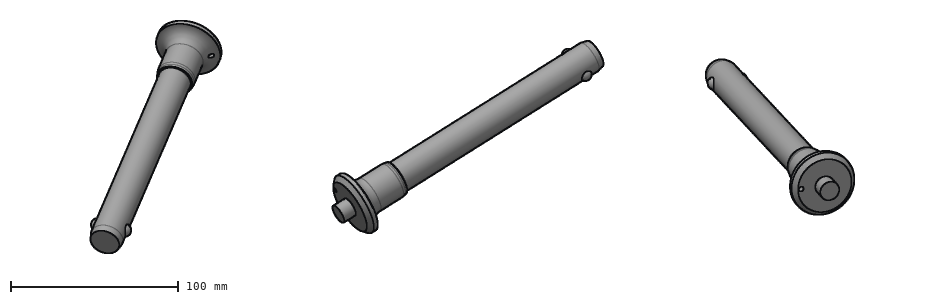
import cadquery as cq

TOTAL_LENGTH = 190.1
BUTTON_END_Y = TOTAL_LENGTH / 2
TIP_Y = -TOTAL_LENGTH / 2

BUTTON_RADIUS = 6.0
BUTTON_LENGTH = 8.6

FLANGE_RADIUS = 20.0
FLANGE_CHAMFER = 3.0
FLANGE_RIM_WIDTH = 3.0
COLLAR_RADIUS = 11.7
FLARE_RADIUS = FLANGE_RADIUS - COLLAR_RADIUS
COLLAR_LENGTH = 16.8
COLLAR_BAND_LENGTH = 1.6
COLLAR_BAND_RADIUS = 11.4
COLLAR_NOSE_LENGTH = 1.7
COLLAR_NOSE_RADIUS = 11.05

SHANK_RADIUS = 10.0
TIP_RADIUS = 9.0
TIP_TAPER_LENGTH = 4.2

BALL_RADIUS = 4.0
BALL_SPAN = 24.8
BALL_FROM_TIP = 13.3

LANYARD_HOLE_DIAMETER = 3.0
LANYARD_HOLE_OFFSET = 15.0

FLANGE_TOP_Y = BUTTON_END_Y - BUTTON_LENGTH
RIM_TOP_Y = FLANGE_TOP_Y - FLANGE_CHAMFER
RIM_BOTTOM_Y = RIM_TOP_Y - FLANGE_RIM_WIDTH
COLLAR_TOP_Y = RIM_BOTTOM_Y - FLARE_RADIUS
COLLAR_BOTTOM_Y = COLLAR_TOP_Y - COLLAR_LENGTH
BAND_BOTTOM_Y = COLLAR_BOTTOM_Y - COLLAR_BAND_LENGTH
NOSE_BOTTOM_Y = BAND_BOTTOM_Y - COLLAR_NOSE_LENGTH
TAPER_START_Y = TIP_Y + TIP_TAPER_LENGTH


def make_pin_body():
    """Revolve the button, handle and shank about the Y axis."""
    profile = (
        cq.Workplane("XY")
        .moveTo(0, BUTTON_END_Y)
        .lineTo(BUTTON_RADIUS, BUTTON_END_Y)
        .lineTo(BUTTON_RADIUS, FLANGE_TOP_Y)
        .lineTo(FLANGE_RADIUS - FLANGE_CHAMFER, FLANGE_TOP_Y)
        .lineTo(FLANGE_RADIUS, RIM_TOP_Y)
        .lineTo(FLANGE_RADIUS, RIM_BOTTOM_Y)
        .radiusArc((COLLAR_RADIUS, COLLAR_TOP_Y), -FLARE_RADIUS)
        .lineTo(COLLAR_RADIUS, COLLAR_BOTTOM_Y)
        .lineTo(COLLAR_BAND_RADIUS, BAND_BOTTOM_Y)
        .lineTo(COLLAR_NOSE_RADIUS, NOSE_BOTTOM_Y)
        .lineTo(SHANK_RADIUS, NOSE_BOTTOM_Y)
        .lineTo(SHANK_RADIUS, TAPER_START_Y)
        .lineTo(TIP_RADIUS, TIP_Y)
        .lineTo(0, TIP_Y)
        .close()
    )
    return profile.revolve(360, (0, 0, 0), (0, 1, 0))


def add_locking_balls(body):
    """Join a ball protruding from each side of the shank near the tip."""
    ball_x = BALL_SPAN / 2 - BALL_RADIUS
    for side in (-1, 1):
        ball = cq.Workplane("XY").sphere(BALL_RADIUS)
        body = body.union(ball.translate((side * ball_x, TIP_Y + BALL_FROM_TIP, 0)))
    return body


def cut_lanyard_hole(body):
    """Drill the lanyard hole through the flange, parallel to the pin axis."""
    drill = (
        cq.Workplane("XZ", origin=(LANYARD_HOLE_OFFSET, FLANGE_TOP_Y, 0))
        .circle(LANYARD_HOLE_DIAMETER / 2)
        .extrude(FLANGE_TOP_Y - COLLAR_TOP_Y)
    )
    return body.cut(drill)


result = cut_lanyard_hole(add_locking_balls(make_pin_body()))